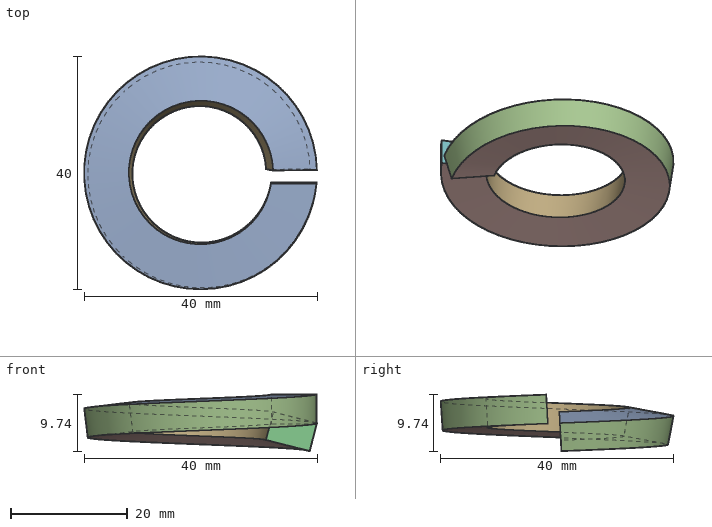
import cadquery as cq
import math

outer_radius = 20.0
section_width = 7.75
section_thickness = 5.0
pitch = 5.0
start_tilt = 14.4
winding_angle = 357.0
curve_steps = 48

gap_low_face_y = 0.48
gap_high_face_y = -1.6
gap_slope = 0.05
gap_half_height = 16.0
gap_length = 24.0


def corner_point(angle, inward, down):
    """Corner of the section, which tilts about its upper outer corner."""
    tilt = math.radians(start_tilt * (1 - angle / 360))
    radius = outer_radius - inward * math.cos(tilt) - down * math.sin(tilt)
    height = pitch * angle / 360 + inward * math.sin(tilt) - down * math.cos(tilt)
    turn = math.radians(angle)
    return cq.Vector(radius * math.cos(turn), radius * math.sin(turn), height)


def corner_curve(inward, down):
    angles = [winding_angle * step / curve_steps for step in range(curve_steps + 1)]
    return cq.Edge.makeSpline([corner_point(angle, inward, down) for angle in angles])


def end_face(angle, corners):
    points = [corner_point(angle, inward, down) for inward, down in corners]
    return cq.Face.makeFromWires(cq.Wire.makePolygon(points, close=True))


def wound_body():
    corners = [
        (0, 0),
        (section_width, 0),
        (section_width, section_thickness),
        (0, section_thickness),
    ]
    curves = [corner_curve(inward, down) for inward, down in corners]
    faces = [
        cq.Face.makeRuledSurface(curve, curves[(index + 1) % len(curves)])
        for index, curve in enumerate(curves)
    ]
    faces += [end_face(angle, corners) for angle in (0, winding_angle)]
    return cq.Workplane(cq.Solid.makeSolid(cq.Shell.makeShell(faces)).fix())


def gap_cutter():
    lean = gap_slope * gap_half_height
    return (
        cq.Workplane("YZ")
        .polyline([
            (gap_low_face_y + lean, -gap_half_height),
            (gap_low_face_y - lean, gap_half_height),
            (gap_high_face_y - lean, gap_half_height),
            (gap_high_face_y + lean, -gap_half_height),
        ])
        .close()
        .extrude(gap_length)
    )


result = wound_body().cut(gap_cutter())